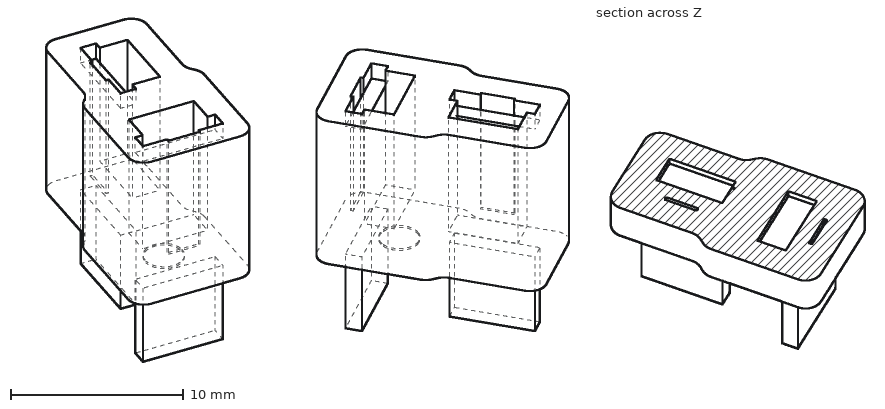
import cadquery as cq

LENGTH = 13.7
WIDE_WIDTH = 7.75
NARROW_WIDTH = 6.41
TOTAL_HEIGHT = 15.2
HOUSING_HEIGHT = 10.0
CORNER_RADIUS = 1.0
SHOULDER_START_X = -0.9
SHOULDER_RUN = 0.79

BLADE_WIDTH = 5.18
BLADE_THICKNESS = 1.0
SLOT_DEPTH = 1.06

CAVITY_WIDTH = 4.21
CAVITY_REACH = 1.8
CAVITY_DEPTH = 8.0

RELIEF_WIDTH = 2.04
RELIEF_REACH = 0.17

CONTACTS = [(-2.8, -0.82, 0), (4.71, 0.0, 90)]

PAD_X = 2.74
PAD_DIAMETER = 2.4
PAD_HEIGHT = 0.12

HOUSING_TOP = TOTAL_HEIGHT / 2
HOUSING_BOTTOM = HOUSING_TOP - HOUSING_HEIGHT
BLADE_BOTTOM = -TOTAL_HEIGHT / 2


def block(width, y_min, y_max, z_min, z_max):
    """Box centred on X, between the given Y and Z limits."""
    box = cq.Workplane("XY").box(width, y_max - y_min, z_max - z_min, centered=(True, False, False))
    return box.translate((0, y_min, z_min))


def make_housing():
    """Prism with a narrow and a wide end, rounded at every corner."""
    end_x = LENGTH / 2
    shoulder_end_x = SHOULDER_START_X + SHOULDER_RUN
    upper_side = [
        (-end_x, NARROW_WIDTH / 2),
        (SHOULDER_START_X, NARROW_WIDTH / 2),
        (shoulder_end_x, WIDE_WIDTH / 2),
        (end_x, WIDE_WIDTH / 2),
    ]
    lower_side = [(x, -y) for x, y in reversed(upper_side)]
    prism = cq.Workplane("XY").workplane(offset=HOUSING_BOTTOM)
    prism = prism.polyline(upper_side + lower_side).close().extrude(HOUSING_HEIGHT)
    return prism.edges("|Z").fillet(CORNER_RADIUS)


def make_socket():
    """Space removed around a blade centred on the origin, facing +Y."""
    face_y = BLADE_THICKNESS / 2
    slot_floor = HOUSING_TOP - SLOT_DEPTH
    cavity_floor = HOUSING_TOP - CAVITY_DEPTH
    slot = block(BLADE_WIDTH, -face_y, face_y, slot_floor, HOUSING_TOP)
    cavity = block(CAVITY_WIDTH, face_y, face_y + CAVITY_REACH, cavity_floor, HOUSING_TOP)
    relief = block(RELIEF_WIDTH, -face_y - RELIEF_REACH, -face_y, cavity_floor, HOUSING_TOP)
    return slot.union(cavity).union(relief)


def make_blade():
    """Solid blade from its top in the slot down to the exposed tip."""
    face_y = BLADE_THICKNESS / 2
    return block(BLADE_WIDTH, -face_y, face_y, BLADE_BOTTOM, HOUSING_TOP - SLOT_DEPTH)


def make_pad():
    """Thin disc standing out from the housing underside."""
    underside = cq.Workplane("XY").workplane(offset=HOUSING_BOTTOM)
    return underside.center(PAD_X, 0).circle(PAD_DIAMETER / 2).extrude(-PAD_HEIGHT)


def place(shape, x, y, angle):
    """Turn a shape about Z, then move it to a contact centre."""
    return shape.rotate((0, 0, 0), (0, 0, 1), angle).translate((x, y, 0))


result = make_housing().union(make_pad())
for contact in CONTACTS:
    result = result.cut(place(make_socket(), *contact))
    result = result.union(place(make_blade(), *contact))